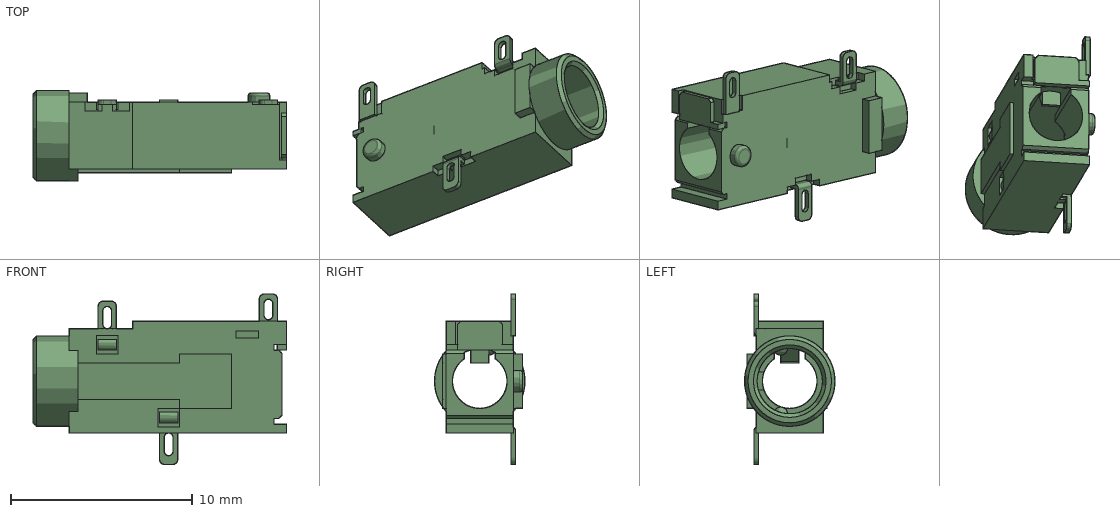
import cadquery as cq

BARREL_RADIUS = 2.5
BARREL_CHAMFER = 0.2
COLLAR_LENGTH = 0.5

BODY_FRONT = 2.0
BODY_BACK = 14.0
BODY_HALF_WIDTH = 1.85
BODY_BOTTOM = -2.87
LOW_TOP = 2.9
HIGH_TOP = 3.32
STEP_X = 5.5

BORE_RADIUS = 1.8
BORE_CHAMFER = 0.2
BORE_STOP_X = 9.0
REAR_HOLE_RADIUS = 1.5
KEYWAY_WIDTH = 1.7
SPRING_WIDTH = 1.0
SPRING_THICKNESS = 0.26
SPRING_TIP_Z = 1.0
SPRING_TIP_HEIGHT = 0.08
SPRING_FRONT = 11.4
SPRING_BACK = 12.2
DETENT_RADIUS = 0.38
DETENT_Y = 0.5
DETENT_TIP_Z = 1.43
PAD_WIDTH = 1.0
PAD_LENGTH = 0.3

RAIL_HEIGHT = 0.2
RAIL_STEP_X = 8.1
RAIL_BACK = 10.97
RAIL_NARROW = 2.0
RAIL_WIDE = 3.0

KEY_LENGTH = 1.0
KEY_WIDTH = 3.0
REAR_REACH = 2.37
BOSS_X = 12.48
BOSS_RADIUS = 0.6
BOSS_FILLET = 0.18

LUG_WIDTH = 1.02
LUG_THICKNESS = 0.26
LUG_OUTER_Y = 1.98
LUG_INNER_Y = LUG_OUTER_Y - LUG_THICKNESS
LUG_CORNER = 0.3
LUG_BEND = 0.25
SLOT_WIDTH = 0.47
LUG_ROOT = 2.5
TOP_LUG_X = 4.1
BOTTOM_LUG_X = 7.49
REAR_LUG_X = 13.0
TOP_LUG_TIP = 4.42
BOTTOM_LUG_TIP = 4.61
REAR_LUG_TIP = 4.82
TOP_SLOT = (LOW_TOP, 4.12)
BOTTOM_SLOT = (-BODY_BOTTOM, 4.11)
REAR_SLOT = (3.4, 4.52)
RECESS_WIDTH = 2.46
RECESS_FLOOR_Y = 1.36
LUG_GAP_WIDTH = 1.2
LUG_GAP_DEPTH = 0.4
LUG_GAP_FLOOR_Y = 1.45
LUMP_WIDTH = 0.58
REAR_RECESS_FRONT = 12.12

WINDOW_WIDTH = 1.2
WINDOW_HEIGHT = 1.02
WINDOW_Z = 2.01
WINDOW_DEPTH = 0.2
BULGE_HEIGHT = 0.6
BULGE_RISE = 0.15
LATCH_WINDOW = (11.21, 12.46, 2.39, 2.78)

COVER_BACK = 13.75
NOTCH_FRONT = 13.32
NOTCH_TOP = 2.01
NOTCH_BOTTOM = -2.37
NOTCH_HEIGHT = 0.3
COVER_CHAMFER = 0.18
COVER_TOP = NOTCH_TOP - NOTCH_HEIGHT
COVER_BOTTOM = NOTCH_BOTTOM + NOTCH_HEIGHT
POCKET_FRONT = 13.62
POCKET_SIDE_Y = -1.33
PLATE_FRONT = 13.73
PLATE_FOOT_FRONT = 13.48
PLATE_Y = (-1.22, 1.25)
PLATE_CHAMFER = 0.18


def box(x0, x1, y0, y1, z0, z1):
    return cq.Workplane("XY").box(x1 - x0, y1 - y0, z1 - z0, centered=False).translate((x0, y0, z0))


def centered_box(x_mid, width, y0, y1, z0, z1):
    return box(x_mid - width / 2, x_mid + width / 2, y0, y1, z0, z1)


def rod(x0, x1, radius):
    return cq.Workplane("YZ").workplane(offset=x0).circle(radius).extrude(x1 - x0)


def mirrored_down(shape):
    return shape.mirror("XY")


def make_body():
    low = box(BODY_FRONT, STEP_X, -BODY_HALF_WIDTH, BODY_HALF_WIDTH, BODY_BOTTOM, LOW_TOP)
    high = box(STEP_X, BODY_BACK, -BODY_HALF_WIDTH, BODY_HALF_WIDTH, BODY_BOTTOM, HIGH_TOP)
    barrel = rod(0, BODY_FRONT, BARREL_RADIUS).faces("<X").chamfer(BARREL_CHAMFER)
    collar_end = BODY_FRONT + COLLAR_LENGTH
    front_half = box(BODY_FRONT, collar_end, -BARREL_RADIUS, 0, -BARREL_RADIUS, BARREL_RADIUS)
    collar = rod(BODY_FRONT, collar_end, BARREL_RADIUS).intersect(front_half)
    return low.union(high).union(barrel).union(collar)


def make_rail():
    y0 = -BODY_HALF_WIDTH - RAIL_HEIGHT
    narrow = box(BODY_FRONT, RAIL_STEP_X, y0, -BODY_HALF_WIDTH, -RAIL_NARROW / 2, RAIL_NARROW / 2)
    wide = box(RAIL_STEP_X, RAIL_BACK, y0, -BODY_HALF_WIDTH, -RAIL_WIDE / 2, RAIL_WIDE / 2)
    return narrow.union(wide)


def make_key_and_boss():
    key_end = BODY_FRONT + KEY_LENGTH
    key = box(BODY_FRONT, key_end, BODY_HALF_WIDTH, REAR_REACH, -KEY_WIDTH / 2, KEY_WIDTH / 2)
    boss = cq.Workplane("XZ", origin=(BOSS_X, BODY_HALF_WIDTH, 0)).circle(BOSS_RADIUS)
    boss = boss.extrude(BODY_HALF_WIDTH - REAR_REACH).faces(">Y").edges().fillet(BOSS_FILLET)
    return key.union(boss)


def make_bore():
    mouth_radius = BORE_RADIUS + BORE_CHAMFER
    profile = [
        (0, 0),
        (0, mouth_radius),
        (BORE_CHAMFER, BORE_RADIUS),
        (BORE_STOP_X, BORE_RADIUS),
        (BORE_STOP_X, REAR_HOLE_RADIUS),
        (BODY_BACK, REAR_HOLE_RADIUS),
        (BODY_BACK, 0),
    ]
    bore = cq.Workplane("XY").polyline(profile).close().revolve(360, (0, 0, 0), (1, 0, 0))
    keyway = box(BORE_STOP_X, BODY_BACK, -KEYWAY_WIDTH / 2, KEYWAY_WIDTH / 2, 0, BORE_RADIUS)
    keyway = keyway.intersect(rod(BORE_STOP_X, BODY_BACK, BORE_RADIUS))
    return bore.union(keyway)


def make_spring():
    """Ramped contact hanging from the roof of the keyway."""
    profile = [
        (SPRING_FRONT, BORE_RADIUS),
        (SPRING_BACK, SPRING_TIP_Z + SPRING_TIP_HEIGHT),
        (SPRING_BACK, SPRING_TIP_Z),
        (SPRING_BACK + SPRING_THICKNESS, SPRING_TIP_Z),
        (SPRING_BACK + SPRING_THICKNESS, BORE_RADIUS),
    ]
    return cq.Workplane("XZ").polyline(profile).close().extrude(SPRING_WIDTH / 2, both=True)


def make_detent(x, side):
    """Rounded contact nose in the bore wall; side is +1 above the axis and -1 below."""
    center_z = side * (DETENT_TIP_Z + DETENT_RADIUS)
    return cq.Workplane("XY").sphere(DETENT_RADIUS).translate((x, DETENT_Y, center_z))


def make_pad():
    x0 = BORE_STOP_X - PAD_LENGTH
    pad = box(x0, BORE_STOP_X, 0, BORE_RADIUS, -PAD_WIDTH / 2, PAD_WIDTH / 2)
    return pad.intersect(rod(x0, BORE_STOP_X, BORE_RADIUS)).cut(rod(x0, BORE_STOP_X, REAR_HOLE_RADIUS))


def make_lug(x, root, tip, slot):
    """Upright flat lug with a rounded tip and an oblong solder slot."""
    lug = centered_box(x, LUG_WIDTH, LUG_INNER_Y, LUG_OUTER_Y, root, tip)
    lug = lug.faces(">Z").edges("|Y").fillet(LUG_CORNER)
    slot_mid = (slot[0] + slot[1]) / 2
    hole = cq.Workplane("XZ", origin=(x, 0, slot_mid)).slot2D(slot[1] - slot[0], SLOT_WIDTH, 90)
    return lug.cut(hole.extrude(-2 * LUG_OUTER_Y))


def make_bent_lug(x, tip, slot):
    """Upright lug whose root bends inward to the floor of its recess."""
    root = centered_box(x, LUG_WIDTH, RECESS_FLOOR_Y, LUG_OUTER_Y, LUG_ROOT, LUG_ROOT + LUG_THICKNESS)
    root = root.edges(">Y and <Z").fillet(LUG_BEND)
    return make_lug(x, LUG_ROOT + LUG_THICKNESS, tip, slot).union(root)


def make_lug_recess(x, body_edge):
    recess = centered_box(x, RECESS_WIDTH, RECESS_FLOOR_Y, BODY_HALF_WIDTH, LUG_ROOT, body_edge)
    lump = centered_box(x, LUMP_WIDTH, RECESS_FLOOR_Y, LUG_INNER_Y, LUG_ROOT, body_edge)
    gap = centered_box(
        x, LUG_GAP_WIDTH, LUG_GAP_FLOOR_Y, BODY_HALF_WIDTH, LUG_ROOT - LUG_GAP_DEPTH, LUG_ROOT
    )
    return recess.cut(lump).union(gap)


def make_window(x):
    """Window over a contact, leaving the contact's curved back standing on its floor."""
    floor_y = WINDOW_DEPTH - BODY_HALF_WIDTH
    half = WINDOW_HEIGHT / 2
    window = centered_box(x, WINDOW_WIDTH, -BODY_HALF_WIDTH, floor_y, WINDOW_Z - half, WINDOW_Z + half)
    bulge = (
        cq.Workplane("YZ", origin=(x, floor_y, WINDOW_Z))
        .moveTo(0, -BULGE_HEIGHT / 2)
        .threePointArc((-BULGE_RISE, 0), (0, BULGE_HEIGHT / 2))
        .close()
        .extrude(LUG_WIDTH / 2, both=True)
    )
    return window.cut(bulge)


def make_latch_window():
    x0, x1, z0, z1 = LATCH_WINDOW
    return box(x0, x1, -BODY_HALF_WIDTH, WINDOW_DEPTH - BODY_HALF_WIDTH, z0, z1)


def make_rear_cut():
    """Space behind the chamfered cover, ending in the upper and lower notches."""
    profile = [
        (NOTCH_FRONT, NOTCH_TOP),
        (BODY_BACK, NOTCH_TOP),
        (BODY_BACK, NOTCH_BOTTOM),
        (NOTCH_FRONT, NOTCH_BOTTOM),
        (NOTCH_FRONT, COVER_BOTTOM),
        (COVER_BACK - COVER_CHAMFER, COVER_BOTTOM),
        (COVER_BACK, COVER_BOTTOM + COVER_CHAMFER),
        (COVER_BACK, COVER_TOP - COVER_CHAMFER),
        (COVER_BACK - COVER_CHAMFER, COVER_TOP),
        (NOTCH_FRONT, COVER_TOP),
    ]
    cut = cq.Workplane("XZ").polyline(profile).close().extrude(BODY_HALF_WIDTH, both=True)
    pocket = box(POCKET_FRONT, BODY_BACK, POCKET_SIDE_Y, BODY_HALF_WIDTH, NOTCH_TOP, HIGH_TOP)
    return cut.union(pocket)


def make_latch_plate():
    plate = box(PLATE_FRONT, BODY_BACK, *PLATE_Y, COVER_TOP, HIGH_TOP)
    plate = plate.faces(">Z").edges("|X").chamfer(PLATE_CHAMFER)
    foot = box(PLATE_FOOT_FRONT, BODY_BACK, PLATE_Y[0], BODY_HALF_WIDTH, COVER_TOP, NOTCH_TOP)
    return plate.union(foot)


def make_rear_recess():
    return box(REAR_RECESS_FRONT, POCKET_FRONT, LUG_INNER_Y, BODY_HALF_WIDTH, LUG_ROOT, HIGH_TOP)


result = (
    make_body()
    .union(make_rail())
    .cut(make_bore())
    .union(make_key_and_boss())
    .cut(make_lug_recess(TOP_LUG_X, LOW_TOP))
    .cut(mirrored_down(make_lug_recess(BOTTOM_LUG_X, -BODY_BOTTOM)))
    .cut(make_rear_recess())
    .cut(make_window(TOP_LUG_X))
    .cut(mirrored_down(make_window(BOTTOM_LUG_X)))
    .cut(make_latch_window())
    .cut(make_rear_cut())
    .union(make_latch_plate())
    .union(make_spring())
    .union(make_pad())
    .union(make_detent(TOP_LUG_X, 1))
    .union(make_detent(BOTTOM_LUG_X, -1))
    .union(make_bent_lug(TOP_LUG_X, TOP_LUG_TIP, TOP_SLOT))
    .union(mirrored_down(make_bent_lug(BOTTOM_LUG_X, BOTTOM_LUG_TIP, BOTTOM_SLOT)))
    .union(make_lug(REAR_LUG_X, LUG_ROOT, REAR_LUG_TIP, REAR_SLOT))
)